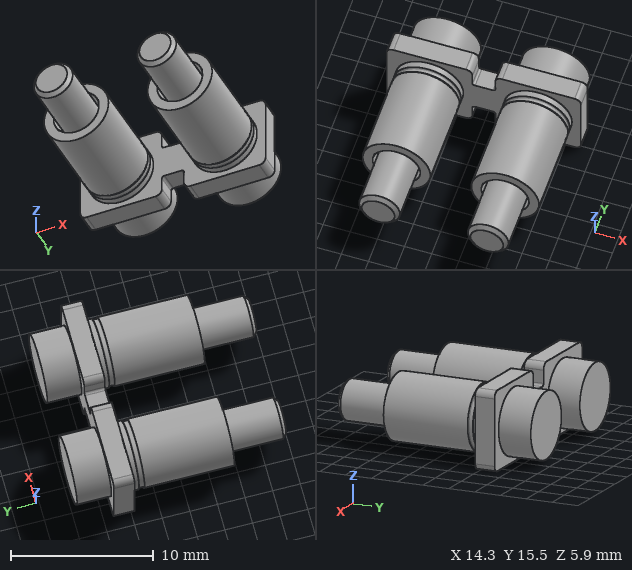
import cadquery as cq

overall_width = 14.3
overall_length = 15.5
carrier_height = 5.9
contact_pitch = 8.0
contact_positions = (-contact_pitch / 2, contact_pitch / 2)

carrier_back = 2.5
carrier_thickness = 1.5
pad_width = overall_width - contact_pitch
pad_corner_radius = 0.5
bridge_length = contact_pitch - pad_width
bridge_height = 2.6
bridge_fillet_radius = 0.19

barrel_radius = 2.5
barrel_length = 11.41
bore_radius = 1.75
bore_depth = 6.98
bore_floor = barrel_length - bore_depth
groove_start = 4.5
groove_width = 0.4
groove_floor_radius = 2.4
groove_floor_fillet = 0.05

pin_radius = 1.5
pin_chamfer = 0.3


def rod(radius, start, end):
    """Round bar along Y, from start to end measured forward (-Y) from the rear of the contact."""
    return cq.Workplane("XZ", origin=(0, -start, 0)).circle(radius).extrude(end - start)


def carrier_block(width, height):
    """Rectangular block with the thickness and Y position of the carrier plate."""
    return cq.Workplane("XZ", origin=(0, -carrier_back, 0)).rect(width, height).extrude(carrier_thickness)


def make_carrier():
    """Plate with one through hole per barrel."""
    carrier = carrier_block(bridge_length, bridge_height)
    pad = carrier_block(pad_width, carrier_height).edges("|Y").fillet(pad_corner_radius)
    for x in contact_positions:
        carrier = carrier.union(pad.translate((x, 0, 0)))

    reach_x = bridge_length / 2 + bridge_fillet_radius
    reach_z = bridge_height / 2 + bridge_fillet_radius
    bridge_zone = cq.selectors.BoxSelector(
        (-reach_x, -overall_length, -reach_z),
        (reach_x, 0, reach_z),
    )
    carrier = carrier.edges("|Y").edges(bridge_zone).fillet(bridge_fillet_radius)

    hole = rod(barrel_radius, carrier_back, carrier_back + carrier_thickness)
    for x in contact_positions:
        carrier = carrier.cut(hole.translate((x, 0, 0)))
    return carrier


def make_groove():
    """Ring of material removed from the barrel, with rounded corners at the groove floor."""
    groove_end = groove_start + groove_width
    groove = rod(barrel_radius, groove_start, groove_end)
    groove = groove.cut(rod(groove_floor_radius, groove_start, groove_end))
    floor_edges = cq.selectors.RadiusNthSelector(0)
    return groove.edges(floor_edges).fillet(groove_floor_fillet)


def make_barrel():
    bore = rod(bore_radius, bore_floor, barrel_length)
    return rod(barrel_radius, 0, barrel_length).cut(make_groove()).cut(bore)


def make_pin():
    pin = rod(pin_radius, bore_floor, overall_length)
    return pin.faces("<Y").chamfer(pin_chamfer)


carrier = make_carrier()
bodies = [carrier.val()]
for x in contact_positions:
    barrel = make_barrel().translate((x, 0, 0))
    pin = make_pin().translate((x, 0, 0))
    bodies += [barrel.val(), pin.val()]

result = cq.Compound.makeCompound(bodies)